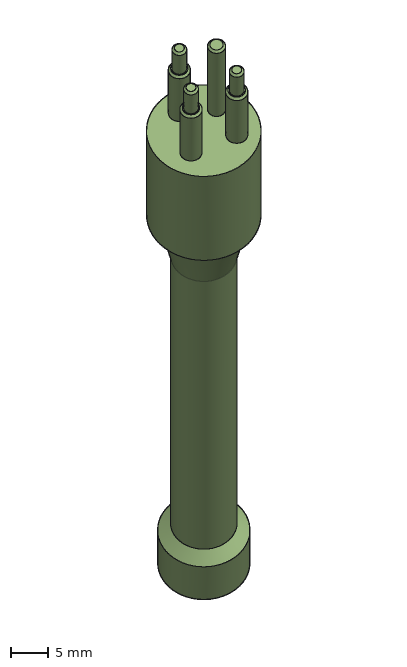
import cadquery as cq

total_height = 111.5

collar_diameter = 12.5
cable_diameter = 9.0
head_diameter = 15.5
collar_height = 7.4
relief_bottom = 69.1
head_bottom = 78.2
head_top = 97.0
pin_height = total_height - head_top
collar_bevel_height = 1.7

sleeve_diameter = 3.0
tip_diameter = 2.0
tip_length = 4.6
contact_spacing = 8.6
side_contact_y = 1.3
pin_row_offset = 4.0

plain_pin_diameter = 2.5

pin_bevel = 0.3


def make_body():
    """Revolve the stepped half profile about the Z axis."""
    collar_radius = collar_diameter / 2
    cable_radius = cable_diameter / 2
    head_radius = head_diameter / 2
    profile = [
        (0, 0),
        (collar_radius, 0),
        (collar_radius, collar_height),
        (cable_radius, collar_height + collar_bevel_height),
        (cable_radius, relief_bottom),
        (collar_radius, head_bottom),
        (head_radius, head_bottom),
        (head_radius, head_top),
        (0, head_top),
    ]
    return cq.Workplane("XZ").polyline(profile).close().revolve(360, (0, 0), (0, 1))


def make_rod(x, y, diameter, height):
    """Round rod standing on the head face, bevelled around its free end."""
    rod = cq.Workplane("XY", origin=(x, y, head_top)).circle(diameter / 2).extrude(height)
    return rod.faces(">Z").chamfer(pin_bevel)


def make_contact(x, y):
    """Thick sleeve with a concentric tip reaching the full height."""
    sleeve = make_rod(x, y, sleeve_diameter, pin_height - tip_length)
    tip = make_rod(x, y, tip_diameter, pin_height)
    return sleeve.union(tip)


contact_positions = [
    (contact_spacing / 2, side_contact_y),
    (0, -pin_row_offset),
    (-contact_spacing / 2, side_contact_y),
]

result = make_body()
for contact_x, contact_y in contact_positions:
    result = result.union(make_contact(contact_x, contact_y))
result = result.union(make_rod(0, pin_row_offset, plain_pin_diameter, pin_height))